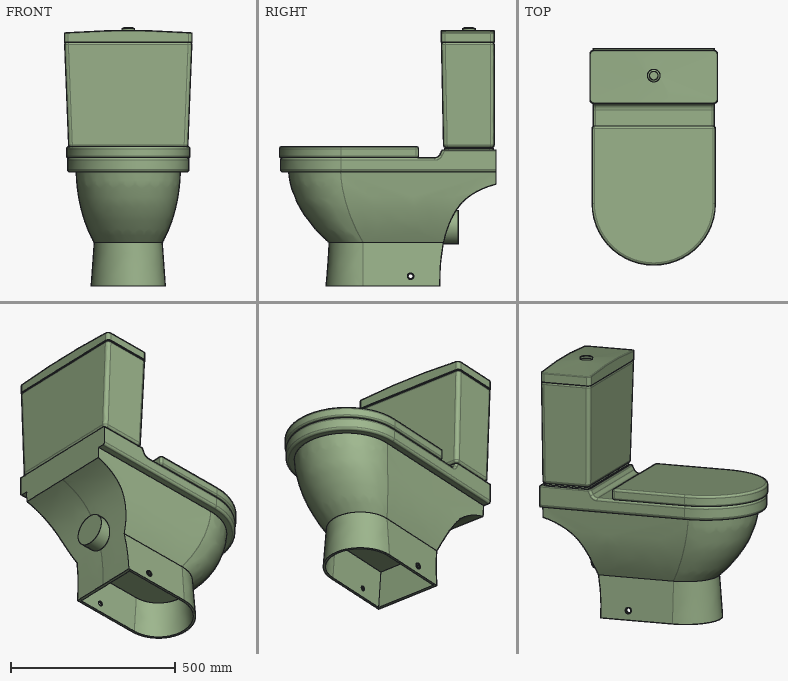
import cadquery as cq


total_height = 787.0
total_depth = 660.5
total_width = 390.0

foot_height = 132.0
foot_bottom_half_width = 113.0
foot_top_half_width = 104.0
foot_front_center_y = -405.5
foot_slope = (foot_bottom_half_width - foot_top_half_width) / foot_height
foot_wall = 7.0
foot_cavity_height = 122.0
foot_cavity_rear_y = -181.0

screw_hole_diameter = 15.0
screw_hole_mouth_diameter = 20.0
screw_hole_mouth_depth = 2.0
screw_hole_y = -261.0
screw_hole_height = 30.0

rim_bottom = 347.0
bowl_sections = [
    (foot_height, foot_top_half_width, foot_front_center_y),
    (198.5, 133.0, -438.5),
    (269.0, 151.0, -462.0),
    (rim_bottom, 159.0, -474.0),
]

rear_curve = [(-172.0, 0), (-161.0, 132.0), (-139.0, 198.5), (-104.0, 254.0), (-58.0, 288.0), (0, 310.0)]

outlet_diameter = 102.0
outlet_bottom = 128.0
outlet_end_y = -115.0
outlet_root_y = -205.0

rim_half_width = 185.0
rim_front_center_y = -472.5
rim_top = 391.0
rim_fillet = 8.0
shelf_top = 415.0
shelf_front_y = -164.5
shelf_edge_fillet = 3.0
shelf_ramp_toe_y = -176.0
shelf_ramp_radius = 17.0

cover_half_width = total_depth + rim_front_center_y
cover_rear_y = -236.0
cover_top = 425.0
cover_corner_radius = 8.0
cover_top_fillet = 7.0
cover_bottom_fillet = 5.0

cistern_rear_y = -5.5
cistern_bottom = 422.0
cistern_top = 742.0
cistern_bottom_width = 364.0
cistern_bottom_depth = 155.0
cistern_top_width = total_width - 1.0
cistern_top_depth = 161.5
cistern_corner_radius = 12.0
cistern_bottom_fillet = 9.0
cistern_top_fillet = 5.5

pad_inset = 3.0
pad_edge_chamfer = 3.0

lid_depth = 162.0
lid_edge_top = 772.0
lid_crown = 779.5
lid_top_fillet = 2.0
lid_bottom_chamfer = 1.5
button_y = -83.0
button_diameter = 38.5
button_top_diameter = 26.0
button_bevel_height = 3.0


def round_front_outline(half_width, center_y, rear_y, height):
    """Closed wire: straight sides from the rear, joined by a half circle at the front."""
    return (
        cq.Workplane("XY", origin=(0, 0, height))
        .moveTo(half_width, rear_y)
        .lineTo(half_width, center_y)
        .threePointArc((0, center_y - half_width), (-half_width, center_y))
        .lineTo(-half_width, rear_y)
        .close()
    )


def round_front_loft(sections, rear_y):
    """Solid through round-fronted sections given as (height, half width, centre Y)."""
    wires = [
        round_front_outline(half_width, center_y, rear_y, height).wire().val()
        for height, half_width, center_y in sections
    ]
    return cq.Workplane(cq.Solid.makeLoft(wires))


def rounded_rectangle(width, depth, rear_y, height):
    """Face with rounded corners whose rear side lies on rear_y."""
    outline = cq.Sketch().rect(width, depth).vertices().fillet(cistern_corner_radius).reset()
    return outline.faces().val().moved(cq.Location(cq.Vector(0, rear_y - depth / 2, height)))


def extrude_up(face, height):
    """Straight solid above a face."""
    return cq.Workplane(cq.Solid.extrudeLinear(face, cq.Vector(0, 0, height)))


def make_foot():
    """Foot block, with a slightly flared base."""
    return round_front_loft(
        [(0, foot_bottom_half_width, foot_front_center_y),
         (foot_height, foot_top_half_width, foot_front_center_y)],
        0,
    )


def make_foot_cavity():
    """Space inside the foot, open to the floor."""
    bottom_half_width = foot_bottom_half_width - foot_wall
    return round_front_loft(
        [(0, bottom_half_width, foot_front_center_y),
         (foot_cavity_height, bottom_half_width - foot_slope * foot_cavity_height, foot_front_center_y)],
        foot_cavity_rear_y,
    )


def make_rear_undercut():
    """Everything behind the concave rear of the bowl and foot."""
    return (
        cq.Workplane("YZ")
        .moveTo(*rear_curve[0])
        .spline(rear_curve[1:], includeCurrent=True)
        .lineTo(0, 0)
        .close()
        .extrude(rim_half_width, both=True)
    )


def make_outlet():
    """Horizontal outlet spigot at the rear."""
    radius = outlet_diameter / 2
    return (
        cq.Workplane("XZ", origin=(0, outlet_end_y, outlet_bottom + radius))
        .circle(radius)
        .extrude(outlet_end_y - outlet_root_y)
    )


def make_screw_holes():
    """Floor screw hole through both side walls, with a wider mouth on each outer face."""
    axis_plane = cq.Workplane("YZ", origin=(0, screw_hole_y, screw_hole_height))
    face_x = foot_bottom_half_width - foot_slope * screw_hole_height
    holes = axis_plane.circle(screw_hole_diameter / 2).extrude(foot_bottom_half_width, both=True)
    for side in (-1, 1):
        mouth = (
            axis_plane.workplane(offset=side * (face_x - screw_hole_mouth_depth))
            .circle(screw_hole_mouth_diameter / 2)
            .extrude(side * foot_wall)
        )
        holes = holes.union(mouth)
    return holes


def make_rim():
    """Rim slab that rises to a shelf at the rear."""
    outline = round_front_outline(rim_half_width, rim_front_center_y, 0, rim_bottom)
    slab = outline.extrude(shelf_top - rim_bottom)
    front_y = rim_front_center_y - rim_half_width
    above_rim = (
        cq.Workplane("YZ")
        .moveTo(shelf_front_y, shelf_top)
        .lineTo(shelf_ramp_toe_y, rim_top)
        .lineTo(front_y, rim_top)
        .lineTo(front_y, shelf_top)
        .close()
        .extrude(rim_half_width, both=True)
    )
    rim = slab.cut(above_rim)
    toe = cq.selectors.NearestToPointSelector((0, shelf_ramp_toe_y, rim_top))
    rim = rim.edges(toe).fillet(shelf_ramp_radius)
    rim_upper_edge = cq.selectors.NearestToPointSelector((0, front_y, rim_top))
    rim = rim.faces("<Z").edges("not >Y").fillet(rim_fillet)
    rim = rim.edges(rim_upper_edge).fillet(rim_fillet)
    return rim.faces(">Z").edges("not >Y").fillet(shelf_edge_fillet)


def make_pad():
    """Low pad between the shelf and the underside of the cistern."""
    footprint = rounded_rectangle(
        cistern_bottom_width - 2 * pad_inset,
        cistern_bottom_depth - 2 * pad_inset,
        cistern_rear_y - pad_inset,
        shelf_top,
    )
    pad = extrude_up(footprint, cistern_bottom - shelf_top)
    return pad.faces(">Z").edges().chamfer(pad_edge_chamfer)


def make_pan():
    bowl = round_front_loft(bowl_sections, 0)
    pan = bowl.union(make_foot()).cut(make_rear_undercut())
    pan = pan.union(make_outlet()).union(make_rim()).union(make_pad())
    return pan.cut(make_foot_cavity()).cut(make_screw_holes())


def make_seat_cover():
    outline = round_front_outline(cover_half_width, rim_front_center_y, cover_rear_y, rim_top)
    cover = outline.extrude(cover_top - rim_top)
    cover = cover.faces(">Y").edges("|Z").fillet(cover_corner_radius)
    cover = cover.faces(">Z").edges().fillet(cover_top_fillet)
    return cover.faces("<Z").edges().fillet(cover_bottom_fillet)


def make_cistern():
    bottom = rounded_rectangle(
        cistern_bottom_width, cistern_bottom_depth, cistern_rear_y, cistern_bottom
    )
    top = rounded_rectangle(cistern_top_width, cistern_top_depth, cistern_rear_y, cistern_top)
    cistern = cq.Workplane(cq.Solid.makeLoft([bottom.outerWire(), top.outerWire()], True))
    cistern = cistern.faces("<Z").edges().fillet(cistern_bottom_fillet)
    return cistern.faces(">Z").edges().fillet(cistern_top_fillet)


def make_cistern_lid():
    footprint = rounded_rectangle(total_width, lid_depth, cistern_rear_y, cistern_top)
    slab = extrude_up(footprint, total_height - cistern_top)
    half_width = total_width / 2
    arch = (
        cq.Workplane("XZ")
        .moveTo(-half_width, cistern_top)
        .lineTo(-half_width, lid_edge_top)
        .threePointArc((0, lid_crown), (half_width, lid_edge_top))
        .lineTo(half_width, cistern_top)
        .close()
        .extrude(lid_depth - cistern_rear_y)
    )
    lid = slab.intersect(arch)
    lid = lid.faces(">Z").edges().fillet(lid_top_fillet)
    lid = lid.faces("<Z").edges().chamfer(lid_bottom_chamfer)
    button_profile = [
        (0, lid_edge_top),
        (button_diameter / 2, lid_edge_top),
        (button_diameter / 2, total_height - button_bevel_height),
        (button_top_diameter / 2, total_height),
        (0, total_height),
    ]
    button = (
        cq.Workplane("XZ", origin=(0, button_y, 0)).polyline(button_profile).close()
        .revolve(360, (0, 0, 0), (0, 1, 0))
    )
    return lid.union(button)


pan = make_pan()
seat_cover = make_seat_cover()
cistern = make_cistern()
cistern_lid = make_cistern_lid()

result = cq.Compound.makeCompound(
    [pan.val(), seat_cover.val(), cistern.val(), cistern_lid.val()]
)